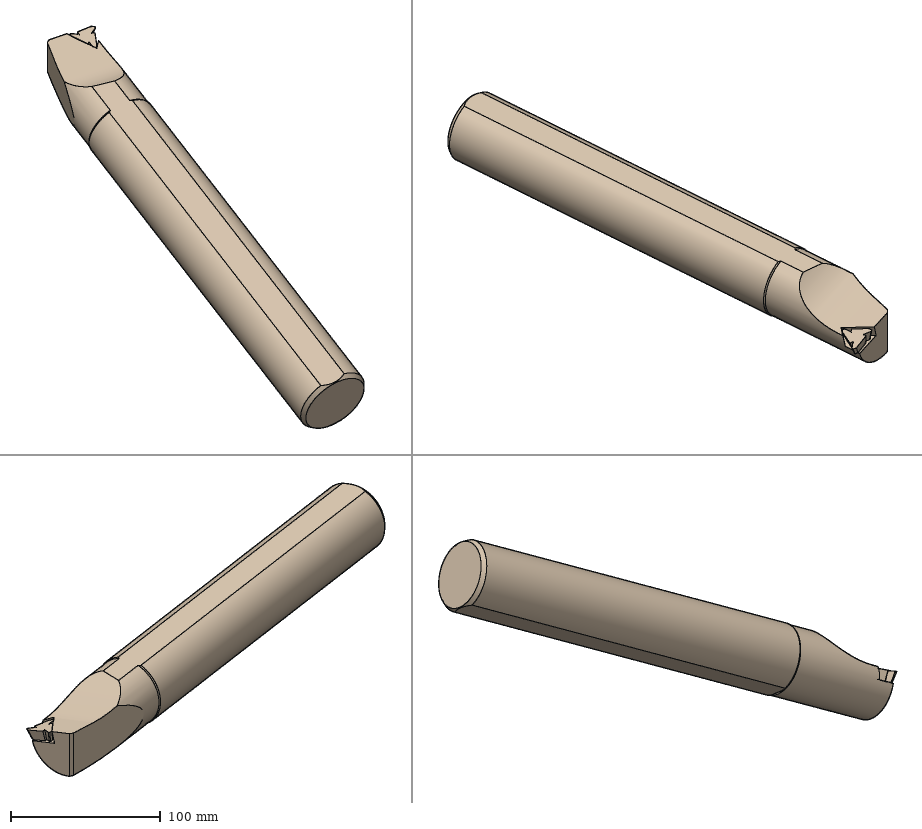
import cadquery as cq
import math

LENGTH = 350.0
HEAD_LENGTH = 79.5
HEAD_RADIUS = 24.5
SHANK_RADIUS = 50.0 / 2
FLAT_HEIGHT = 46.5 / 2
STEP_LENGTH = 1.0
END_CHAMFER_LENGTH = 3.0
END_CHAMFER_DEPTH = 2.0
MARGIN = 17.5

FLANK_ANGLE = 15.0
NOSE_CORNER_Y = -8.0
NOSE_CHAMFER_X = 1.5
NOSE_CHAMFER_Y = 1.8

RAKE_ANGLE = 13.0
FLOOR_HEIGHT = 8.5
FLOOR_LENGTH = 18.2
RUNOUT_RADIUS = 63.0
POCKET_HEIGHT = 35.0

INSERT_CENTER = (6.5, 20.12)
INSERT_DROP = 1.0
INSERT_THICKNESS = 7.7
INSERT_BOTTOM_SCALE = 0.8
TEETH = 3
TOOTH = [(-6.5, 8.0), (-5.2, 10.0), (-4.2, 9.8), (-1.5, 5.0), (-0.5, 7.0)]

SEAT_START = (0.0, 8.0)
SEAT_APEX = (19.2, 20.0)
SEAT_EXIT = (12.0, 26.5)


def tilted_to_rake(body):
    """Tilt a body made on a level floor so that it rises towards -Y."""
    return body.rotate((0, 0, 0), (1, 0, 0), -RAKE_ANGLE).translate((0, 0, FLOOR_HEIGHT))


def make_bar():
    """Round bar with a flat along its top and another under the shank only."""
    profile = [
        (0, 0),
        (0, HEAD_RADIUS),
        (HEAD_LENGTH, HEAD_RADIUS),
        (HEAD_LENGTH + STEP_LENGTH, SHANK_RADIUS),
        (LENGTH - END_CHAMFER_LENGTH, SHANK_RADIUS),
        (LENGTH, SHANK_RADIUS - END_CHAMFER_DEPTH),
        (LENGTH, 0),
    ]
    bar = cq.Workplane("XY").polyline(profile).close().revolve(360, (0, 0), (1, 0))
    width = 2 * SHANK_RADIUS + MARGIN
    top_cut = cq.Workplane("XY").box(LENGTH, width, MARGIN, centered=(False, True, False))
    bottom_cut = cq.Workplane("XY").box(
        LENGTH - HEAD_LENGTH, width, MARGIN, centered=(False, True, False)
    )
    bar = bar.cut(top_cut.translate((0, 0, FLAT_HEIGHT)))
    return bar.cut(bottom_cut.translate((HEAD_LENGTH, 0, -FLAT_HEIGHT - MARGIN)))


def make_flank_cut():
    """Material outside the tapered flank and its chamfered nose corner."""
    slope = math.tan(math.radians(FLANK_ANGLE))
    far_y = -HEAD_RADIUS - MARGIN
    outline = [
        (-MARGIN, far_y),
        (-MARGIN, NOSE_CORNER_Y + NOSE_CHAMFER_Y),
        (0, NOSE_CORNER_Y + NOSE_CHAMFER_Y),
        (NOSE_CHAMFER_X, NOSE_CORNER_Y - NOSE_CHAMFER_X * slope),
        ((NOSE_CORNER_Y - far_y) / slope, far_y),
    ]
    return cq.Workplane("XY").polyline(outline).close().extrude(2 * HEAD_RADIUS, both=True)


def make_chip_pocket():
    def arc_point(height):
        run = math.sqrt(RUNOUT_RADIUS**2 - (RUNOUT_RADIUS - height) ** 2)
        return (FLOOR_LENGTH + run, height)

    pocket = (
        cq.Workplane("XZ")
        .moveTo(-MARGIN, 0)
        .lineTo(FLOOR_LENGTH, 0)
        .threePointArc(arc_point(POCKET_HEIGHT / 4), arc_point(POCKET_HEIGHT))
        .lineTo(-MARGIN, POCKET_HEIGHT)
        .close()
        .extrude(2 * HEAD_RADIUS, both=True)
    )
    return tilted_to_rake(pocket)


def make_seat_cut():
    seat_slope = (SEAT_APEX[1] - SEAT_START[1]) / (SEAT_APEX[0] - SEAT_START[0])
    outline = [
        (-MARGIN, SEAT_START[1] - MARGIN * seat_slope),
        SEAT_APEX,
        SEAT_EXIT,
        (SEAT_EXIT[0], HEAD_RADIUS + MARGIN),
        (-MARGIN, HEAD_RADIUS + MARGIN),
    ]
    depth = INSERT_DROP + INSERT_THICKNESS
    seat = cq.Workplane("XY").workplane(offset=-depth).polyline(outline).close().extrude(depth)
    return tilted_to_rake(seat)


def insert_outline(scale):
    """The tooth repeated clockwise around the insert centre."""
    points = []
    for index in range(TEETH):
        turn = -2 * math.pi * index / TEETH
        for x, y in TOOTH:
            turned_x = x * math.cos(turn) - y * math.sin(turn)
            turned_y = x * math.sin(turn) + y * math.cos(turn)
            points.append((scale * turned_x, scale * turned_y))
    return points


def make_insert():
    plate = (
        cq.Workplane("XY")
        .workplane(offset=-INSERT_DROP)
        .center(*INSERT_CENTER)
        .polyline(insert_outline(1.0))
        .close()
        .workplane(offset=-INSERT_THICKNESS)
        .polyline(insert_outline(INSERT_BOTTOM_SCALE))
        .close()
        .loft(ruled=True)
    )
    return tilted_to_rake(plate)


def make_holder():
    return make_bar().cut(make_flank_cut()).cut(make_chip_pocket()).cut(make_seat_cut())


holder = make_holder()
insert = make_insert()

result = cq.Compound.makeCompound([holder.val(), insert.val()])